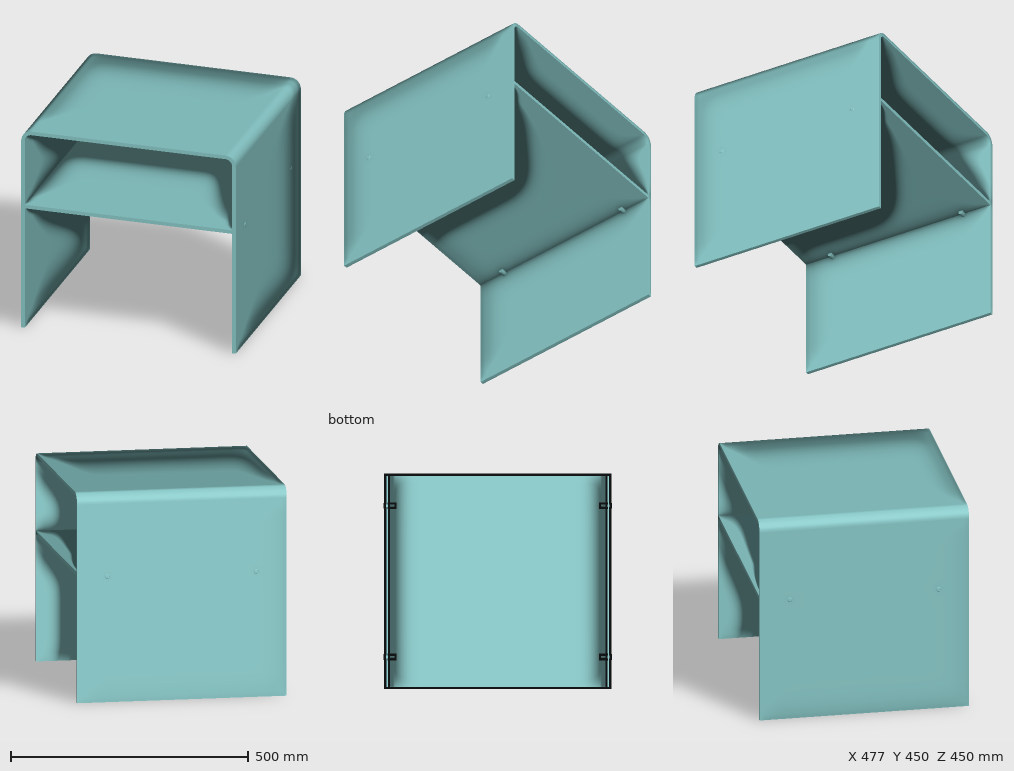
import cadquery as cq

overall_width = 477.0
depth = 450.0
height = 450.0
panel_thickness = 8.0
corner_radius = 23.0
pin_protrusion = 1.0
pin_diameter = 10.0
pin_reach = 13.5
pin_end_chamfer = 1.0
pin_edge_distance = 65.5
pin_drop = 180.0
shelf_drop = 169.0

frame_width = overall_width - 2 * pin_protrusion
inner_width = frame_width - 2 * panel_thickness
inner_height = height - panel_thickness
inner_radius = corner_radius - panel_thickness
pin_length = pin_protrusion + panel_thickness + pin_reach
pin_y = depth / 2 - pin_edge_distance
pin_z = height - pin_drop
shelf_z = height - shelf_drop - panel_thickness / 2


def arch_block(width, top, radius):
    """Upright block standing on Z = 0 with its two upper edges rounded."""
    block = cq.Workplane("XY").box(width, depth, top, centered=(True, True, False))
    return block.edges("|Y and >Z").fillet(radius)


def make_pin(side, y):
    """Pin through one leg; side is -1 for the left leg and 1 for the right."""
    outer_end = cq.Workplane("YZ", origin=(side * overall_width / 2, y, pin_z))
    pin = outer_end.circle(pin_diameter / 2).extrude(-side * pin_length)
    outer_face = ">X" if side > 0 else "<X"
    return pin.faces(outer_face).chamfer(pin_end_chamfer)


pins = []
for side in (-1, 1):
    for y in (-pin_y, pin_y):
        pins.append(make_pin(side, y))

frame = arch_block(frame_width, height, corner_radius)
frame = frame.cut(arch_block(inner_width, inner_height, inner_radius))

shelf = cq.Workplane("XY").box(inner_width, depth, panel_thickness).translate((0, 0, shelf_z))

for pin in pins:
    frame = frame.cut(pin)
    shelf = shelf.cut(pin)

result = cq.Compound.makeCompound([frame.val(), shelf.val(), *[pin.val() for pin in pins]])